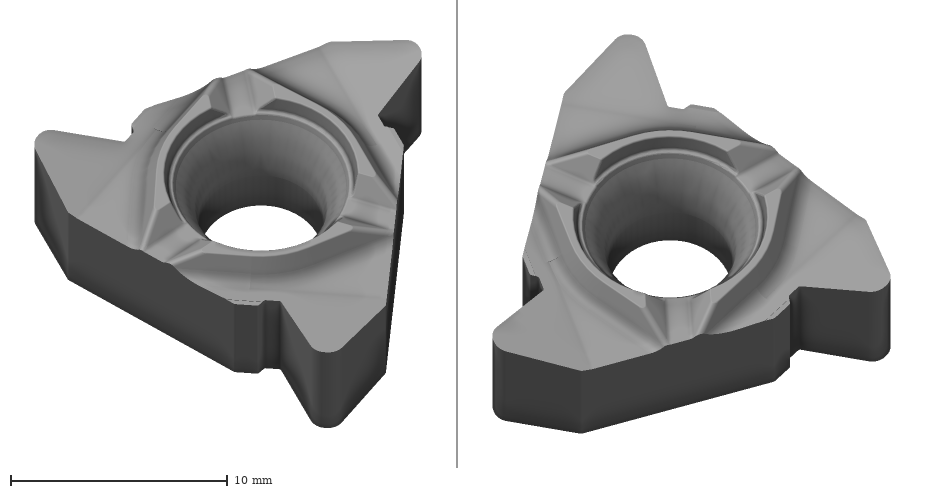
import cadquery as cq
import math

tooth_count = 3
tooth_turn = 360 / tooth_count

top_z = 6.05
floor_z = 4.99
overall_length = 18.61
flank_reach = 6.36

tip_reach = 9.88
tip_sharp_half = 0.5
tip_radius = 0.78
tooth_half_angle = 30
relief_y = 6.65
pad_y = 7.0
notch_end_x = -0.76
pad_start_x = -0.48
side_corner_radius = 0.22
notch_radius = 0.11

ramp_start_y = 5.9
ramp_angle = 10
valley_reach = 0.05
pad_top_z = 5.12
pad_top_y = 6.77
pad_top_x = -0.75

collar_reach = 4.84
collar_slope = 55
foot_radius = 0.78
collar_turn = 32
collar_straight = 4.84
collar_edge_radius = 0.1

channel_angle = 165
channel_offset = 0.1
channel_floor_z = 5.27
channel_floor_half = 0.54
channel_top_half = 1.5
channel_radius = 0.28
ridge_radius = 0.28
ridge_inner = 5.58
ridge_outer = 6.33
wall_band = 0.19

bore_radius = 2.85
throat_radius = 4.1
seat_radius = 3.95
seat_top_z = 5.05
ledge_radius = 4.1
ledge_z = 5.3
rim_foot_radius = 4.28
rim_top_radius = 4.49
rim_foot_round = 0.15
ledge_round = 0.11
rim_corner_radius = 0.11

collar_mid_z = (channel_floor_z + top_z) / 2
clear = 11.17
overcut = 0.37
near = 0.002


def rotated(point, angle):
    """Turn a point about the centre by an angle in degrees."""
    a = math.radians(angle)
    x, y = point
    return (x * math.cos(a) - y * math.sin(a), x * math.sin(a) + y * math.cos(a))


def around(solid):
    """Repeat a solid at every tooth."""
    ring = solid
    for i in range(1, tooth_count):
        ring = ring.union(solid.rotate((0, 0, 0), (0, 0, 1), i * tooth_turn))
    return ring


def body():
    """Prism with three teeth, each followed by a notch and a stop pad."""
    half_angle = math.radians(tooth_half_angle)
    bottom_reach = overall_length - tip_reach
    tip_left = -(bottom_reach - tip_reach * math.sin(half_angle)) / math.cos(half_angle)
    tip_right = tip_left + 2 * tip_sharp_half
    spread = math.tan(half_angle)
    shoulder_y = tip_reach - (tip_left + flank_reach) / spread
    notch_start_x = tip_right + (tip_reach - relief_y) * spread
    flank_turn = math.radians(180 - tooth_turn)
    pad_end_x = (flank_reach - pad_y * math.sin(flank_turn)) / math.cos(flank_turn)
    corners = [
        ((-flank_reach, shoulder_y), side_corner_radius),
        ((tip_left, tip_reach), tip_radius),
        ((tip_right, tip_reach), tip_radius),
        ((notch_start_x, relief_y), notch_radius),
        ((notch_end_x, relief_y), notch_radius),
        ((pad_start_x, pad_y), notch_radius),
        ((pad_end_x, pad_y), side_corner_radius),
    ]
    outline = [rotated(p, -i * tooth_turn) for i in range(tooth_count) for p, _ in corners]
    prism = cq.Workplane("XY").polyline(outline).close().extrude(top_z)
    for radius in (side_corner_radius, tip_radius, notch_radius):
        group = [p for p, r in corners if r == radius]
        places = [rotated(p, -i * tooth_turn) for i in range(tooth_count) for p in group]
        for x, y in places:
            edge = cq.selectors.BoxSelector((x - near, y - near, 0), (x + near, y + near, top_z))
            prism = prism.edges("|Z").edges(edge).fillet(radius)
    return prism


def collar_profile(plane, floor_angle=0):
    """Section outside the collar: slope, foot round and a floor that may rise outward."""
    slope = math.radians(collar_slope)
    climb = math.radians(floor_angle)
    base = collar_reach + (top_z - floor_z) / math.tan(slope)
    drop = (ramp_start_y - base) * math.tan(climb) / (1 + math.tan(climb) / math.tan(slope))
    corner = (base + drop / math.tan(slope), floor_z - drop)
    tangent = foot_radius * math.tan((slope + climb) / 2)
    arc_end = (corner[0] + tangent * math.cos(climb), corner[1] + tangent * math.sin(climb))
    arc_start = (corner[0] - tangent * math.cos(slope), corner[1] + tangent * math.sin(slope))
    half = (slope - climb) / 2
    centre = (arc_end[0] - foot_radius * math.sin(climb), arc_end[1] + foot_radius * math.cos(climb))
    mid = (centre[0] - foot_radius * math.sin(half), centre[1] - foot_radius * math.cos(half))
    lip = (collar_reach - overcut / math.tan(slope), top_z + overcut)
    return (plane.moveTo(clear, arc_end[1]).lineTo(*arc_end).threePointArc(mid, arc_start)
            .lineTo(*lip).lineTo(clear, top_z + overcut).close())


def tooth_space():
    """Chip space of one tooth, bounded below by the chip floor and the tooth face."""
    leading = collar_profile(cq.Workplane("YZ"), ramp_angle).extrude(collar_straight)
    bend = collar_profile(cq.Workplane("YZ")).revolve(collar_turn, (0, 0, 0), (0, 1, 0))
    trailing = collar_profile(cq.Workplane("YZ")).extrude(-collar_straight)
    trailing = trailing.rotate((0, 0, 0), (0, 0, 1), collar_turn)
    return leading.union(bend).union(trailing).cut(tooth_face())


def tooth_face():
    """Wedge under the rising tooth face, capped level over the stop pad."""
    angle = math.radians(ramp_angle)
    rise = (clear - ramp_start_y) * math.tan(angle)
    valley_end = (ramp_start_y + valley_reach * math.cos(angle), floor_z + valley_reach * math.sin(angle))
    valley_radius = valley_reach / math.tan(angle / 2)
    valley_mid = (ramp_start_y - valley_reach + valley_radius * math.sin(angle / 2),
                  floor_z + valley_radius * (1 - math.cos(angle / 2)))
    wedge = (cq.Workplane("YZ").moveTo(ramp_start_y - valley_reach, floor_z)
             .threePointArc(valley_mid, valley_end)
             .lineTo(clear, floor_z + rise).lineTo(clear, floor_z).close()
             .extrude(clear, both=True))
    cap = cq.Workplane("XY").box(clear, clear, clear, centered=False)
    return wedge.cut(cap.translate((pad_top_x, pad_top_y, pad_top_z)))


def channel():
    """Flared groove running outward through the collar."""
    flare = (channel_top_half - channel_floor_half) / (top_z - channel_floor_z)
    lip = channel_top_half + overcut * flare
    groove = (cq.Workplane("YZ")
              .polyline([(-channel_floor_half, channel_floor_z), (channel_floor_half, channel_floor_z),
                         (lip, top_z + overcut), (-lip, top_z + overcut)])
              .close().extrude(clear))
    groove = groove.edges("|X").edges("<Z").fillet(channel_radius)
    return groove.translate((0, channel_offset, 0)).rotate((0, 0, 0), (0, 0, 1), channel_angle)


def circle_at(shape, radius):
    """Circular edge of a turned shape that has the given radius."""
    return shape.newObject([e for e in shape.edges("%CIRCLE").vals() if abs(e.radius() - radius) < near])


def screw_seat():
    """Through bore with a horn-shaped seat, a ledge and a flared rim."""
    turn = math.acos(1 - (seat_radius - bore_radius) / throat_radius)
    throat_z = seat_top_z - throat_radius * math.sin(turn)
    mid = (bore_radius + throat_radius * (1 - math.cos(turn / 2)),
           throat_z + throat_radius * math.sin(turn / 2))
    seat = (cq.Workplane("XZ").moveTo(0, 0).lineTo(bore_radius, 0).lineTo(bore_radius, throat_z)
            .threePointArc(mid, (seat_radius, seat_top_z))
            .lineTo(ledge_radius, ledge_z).lineTo(rim_foot_radius, ledge_z)
            .lineTo(rim_top_radius, top_z).lineTo(0, top_z).close().revolve(360, (0, 0, 0), (0, 1, 0)))
    seat = circle_at(seat, rim_foot_radius).fillet(rim_foot_round)
    return circle_at(seat, ledge_radius).fillet(ledge_round)


def edges_where(shape, test):
    """Edges whose midpoint, as distance from the bore axis and height, passes a test."""
    chosen = []
    for edge in shape.edges().vals():
        middle = edge.positionAt(0.5)
        if test(math.hypot(middle.x, middle.y), middle.z):
            chosen.append(edge)
    return shape.newObject(chosen)


def on_ridge(distance, height):
    """Edge between a channel wall and the outer slope of the collar."""
    return ridge_inner < distance < ridge_outer and collar_mid_z - wall_band < height < top_z - near


def on_rim_corner(distance, height):
    """Edge between a channel wall and the flared rim."""
    return rim_foot_radius < distance < rim_top_radius and abs(height - collar_mid_z) < wall_band


def on_top(distance, height):
    """Edge of the flat top of the collar."""
    return height > top_z - near


result = body().cut(around(tooth_space())).cut(around(channel())).cut(screw_seat())
result = edges_where(result, on_ridge).fillet(ridge_radius)
result = edges_where(result, on_rim_corner).fillet(rim_corner_radius)
result = edges_where(result, on_top).fillet(collar_edge_radius)